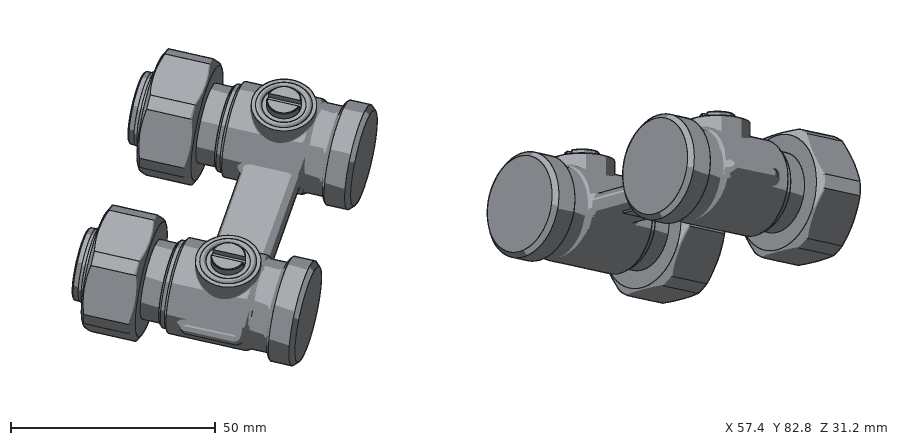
import cadquery as cq
import math

valve_spacing = 50.0
total_length = 57.4

tail_radius = 9.1
tail_chamfer = 0.35
bead_radius = 9.6
bead_start = 1.6
bead_crest_start = 2.5
bead_crest_end = 3.45

nut_start = 3.9
nut_end = 17.6
nut_across_flats = 30.0
nut_across_corners = 32.75
nut_face_radius = 14.4
nut_chamfer_angle = 30.0
nut_rear_rounding = 0.5

front_neck_radius = 10.0
collar_start = 22.4
collar_radius = 11.0
collar_end = 24.0
collar_chamfer = 0.6
body_start = 24.7
body_radius = 12.0
body_end = 43.9
shoulder_middle = 45.0
rear_neck_start = 45.6
rear_neck_radius = 11.3
flare_start = 49.2
flare_end = 50.3
flare_radius = 12.2
rim_start = 51.0
rim_radius = 13.15
rim_front_chamfer = 0.4
rim_end_radius = 12.0
rim_end_chamfer = 1.2

stem_x = 37.1
boss_radius = 8.0
boss_top = 14.1
boss_fillet = 0.3
ring_inner_radius = 5.4
ring_outer_radius = 6.95
ring_height = 0.6
stem_radius = 4.25
stem_top = 16.2
stem_chamfer = 0.2
slot_width = 1.75
slot_floor = 14.7

bar_width = 15.0
bar_thickness = 6.0
bar_fillet = 1.2
pad_length = 9.8
pad_width = 8.8
pad_height = 0.5

rib_start = 28.4
rib_end = 44.2
rib_height = 13.5
rib_radius = 1.8
rib_fillet = 1.9

edge_samples = (0.1, 0.35, 0.65, 0.9)
touch_tolerance = 1e-4


def revolve_about_x(profile):
    return profile.close().revolve(360, (0, 0, 0), (1, 0, 0))


def make_tailpiece():
    profile = (
        cq.Workplane("XY")
        .lineTo(0, tail_radius - tail_chamfer)
        .lineTo(tail_chamfer, tail_radius)
        .lineTo(bead_start, tail_radius)
        .lineTo(bead_crest_start, bead_radius)
        .lineTo(bead_crest_end, bead_radius)
        .lineTo(nut_start, tail_radius)
        .lineTo(nut_end, tail_radius)
        .lineTo(nut_end, 0)
    )
    return revolve_about_x(profile)


def make_nut():
    nut_length = nut_end - nut_start
    corner_radius = nut_across_corners / 2
    chamfer_depth = (corner_radius - nut_face_radius) * math.tan(math.radians(nut_chamfer_angle))
    sharp_corner_diameter = nut_across_flats / math.cos(math.pi / 6)
    hexagon = (
        cq.Workplane("YZ")
        .workplane(offset=nut_start)
        .polygon(6, sharp_corner_diameter)
        .extrude(nut_length)
    )
    envelope = revolve_about_x(
        cq.Workplane("XY")
        .moveTo(nut_start, 0)
        .lineTo(nut_start, nut_face_radius)
        .lineTo(nut_start + chamfer_depth, corner_radius)
        .lineTo(nut_end - chamfer_depth, corner_radius)
        .lineTo(nut_end, nut_face_radius)
        .lineTo(nut_end, 0)
    )
    nut = hexagon.intersect(envelope)
    rear_scallops = cq.selectors.BoxSelector(
        (nut_end - chamfer_depth - touch_tolerance, -corner_radius, -corner_radius),
        (nut_end - touch_tolerance, corner_radius, corner_radius),
    )
    return nut.edges(rear_scallops).fillet(nut_rear_rounding)


def make_body():
    shoulder_share = (shoulder_middle - body_end) / (rear_neck_start - body_end)
    shoulder_radius = body_radius - shoulder_share * (body_radius - rear_neck_radius)
    profile = (
        cq.Workplane("XY")
        .moveTo(nut_end, 0)
        .lineTo(nut_end, front_neck_radius)
        .lineTo(collar_start, front_neck_radius)
        .lineTo(collar_start, collar_radius - collar_chamfer)
        .lineTo(collar_start + collar_chamfer, collar_radius)
        .lineTo(collar_end, collar_radius)
        .lineTo(body_start, body_radius)
        .lineTo(body_end, body_radius)
        .tangentArcPoint((shoulder_middle, shoulder_radius), relative=False)
        .tangentArcPoint((rear_neck_start, rear_neck_radius), relative=False)
        .lineTo(flare_start, rear_neck_radius)
        .tangentArcPoint((flare_end, flare_radius), relative=False)
        .lineTo(rim_start - rim_front_chamfer, rim_radius - rim_front_chamfer)
        .lineTo(rim_start, rim_radius)
        .lineTo(total_length - rim_end_chamfer, rim_radius)
        .lineTo(total_length, rim_end_radius)
        .lineTo(total_length, 0)
    )
    return revolve_about_x(profile)


def make_rib():
    arc_inset = rib_radius * (1 - math.sqrt(0.5))
    arc_rise = rib_radius * math.sqrt(0.5)
    profile = (
        cq.Workplane("XY")
        .moveTo(rib_start, 0)
        .threePointArc((rib_start + arc_inset, arc_rise), (rib_start + rib_radius, rib_radius))
        .lineTo(rib_end - rib_radius, rib_radius)
        .threePointArc((rib_end - arc_inset, arc_rise), (rib_end, 0))
    )
    return revolve_about_x(profile).translate((0, rib_height - rib_radius, 0))


def make_boss():
    return cq.Workplane("XY").center(stem_x, 0).circle(boss_radius).extrude(boss_top)


def make_ring():
    ring_middle = (ring_inner_radius + ring_outer_radius) / 2
    return (
        cq.Workplane("XZ", origin=(stem_x, 0, boss_top))
        .moveTo(ring_inner_radius, 0)
        .threePointArc((ring_middle, ring_height), (ring_outer_radius, 0))
        .close()
        .revolve(360, (0, 0, 0), (0, 1, 0))
    )


def make_stem():
    stem = cq.Workplane("XY").center(stem_x, 0).circle(stem_radius).extrude(stem_top)
    stem = stem.faces(">Z").chamfer(stem_chamfer)
    slot = (
        cq.Workplane("XY", origin=(stem_x, 0, slot_floor))
        .rect(2 * stem_radius, slot_width)
        .extrude(stem_top - slot_floor)
    )
    return stem.cut(slot)


def make_half_bar():
    return (
        cq.Workplane("XZ")
        .center(stem_x, 0)
        .slot2D(bar_width, bar_thickness)
        .extrude(valve_spacing / 2)
    )


def make_pad():
    pad_bottom = -bar_thickness / 2 - pad_height
    return cq.Workplane("XY", origin=(stem_x, 0, pad_bottom)).rect(pad_width, pad_length).extrude(pad_height)


def lies_on(edge, shape):
    samples = [cq.Vertex.makeVertex(*edge.positionAt(t).toTuple()) for t in edge_samples]
    return all(min(face.distance(point) for face in shape.faces().vals()) < touch_tolerance for point in samples)


def join_with_fillet(base, feature, radius):
    joined = base.union(feature)
    seam = [edge for edge in joined.edges().vals() if lies_on(edge, base) and lies_on(edge, feature)]
    return joined.newObject(seam).fillet(radius)


def make_valve():
    valve = join_with_fillet(make_body(), make_boss(), boss_fillet)
    valve = join_with_fillet(valve, make_rib(), rib_fillet)
    valve = join_with_fillet(valve, make_half_bar(), bar_fillet)
    for part in (make_tailpiece(), make_nut(), make_ring(), make_stem()):
        valve = valve.union(part)
    return valve


rear_valve = make_valve().translate((0, valve_spacing / 2, 0))
front_valve = rear_valve.mirror("XZ")
result = rear_valve.union(front_valve).union(make_pad())